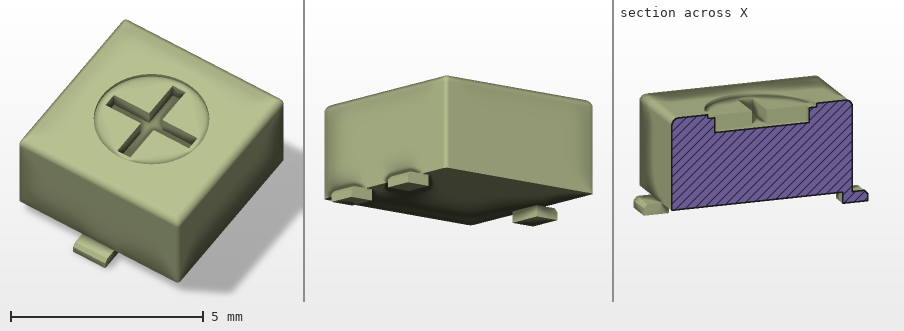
import cadquery as cq

body_side = 5.0
body_height = 2.5
top_fillet = 0.2
corner_fillet = 0.1

dial_diameter = 3.0
dial_depth = 0.1
slot_length = 2.6
slot_width = 0.4
slot_depth = 0.4

foot_height = 0.3
foot_length = 0.7
foot_chamfer = 0.1
overall_length = 5.92
front_overhang = 0.425
back_overhang = overall_length - body_side - front_overhang
front_foot_width = 1.0
back_foot_width = 0.8
back_foot_offset = 1.15

body_top = foot_height + body_height
dial_floor = body_top - dial_depth


def make_housing():
    block = cq.Workplane("XY").box(body_side, body_side, body_height, centered=(True, True, False))
    block = block.edges("|Z").fillet(corner_fillet)
    block = block.faces(">Z").edges().fillet(top_fillet)
    return block.translate((0, 0, foot_height))


def cut_adjuster(housing):
    dial = cq.Workplane("XY", origin=(0, 0, dial_floor)).circle(dial_diameter / 2).extrude(dial_depth)
    slot_plane = cq.Workplane("XY", origin=(0, 0, dial_floor - slot_depth))
    slot_x = slot_plane.rect(slot_length, slot_width).extrude(slot_depth)
    slot_y = slot_plane.rect(slot_width, slot_length).extrude(slot_depth)
    return housing.cut(dial).cut(slot_x).cut(slot_y)


def make_foot(width, x, side, overhang):
    """Foot at the front (side = -1) or back (side = 1) with its outer top edge chamfered."""
    outer_y = side * (body_side / 2 + overhang)
    foot = cq.Workplane("XY").box(width, foot_length, foot_height, centered=(True, True, False))
    outer_face = ">Y" if side > 0 else "<Y"
    foot = foot.faces(outer_face).edges(">Z").chamfer(foot_chamfer)
    return foot.translate((x, outer_y - side * foot_length / 2, 0))


result = cut_adjuster(make_housing())
result = result.union(make_foot(front_foot_width, 0, -1, front_overhang))
for x in (-back_foot_offset, back_foot_offset):
    result = result.union(make_foot(back_foot_width, x, 1, back_overhang))